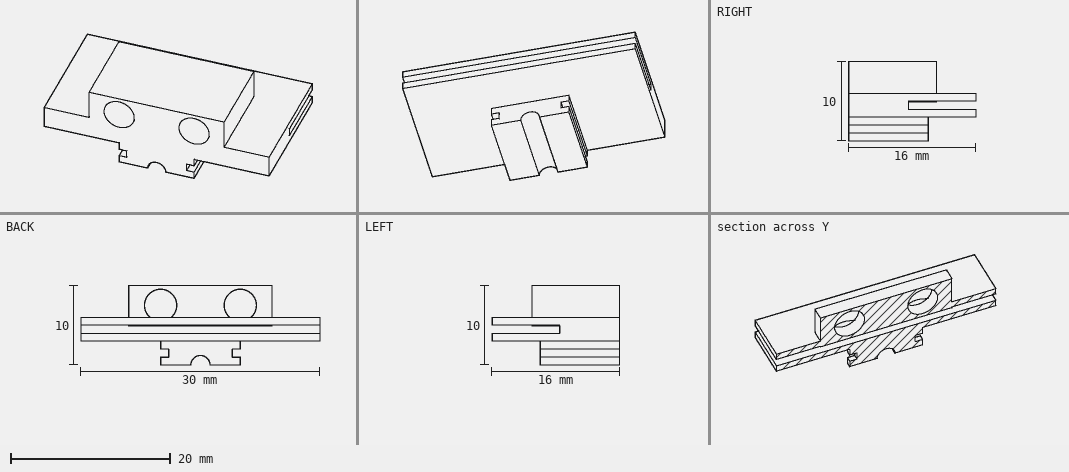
import cadquery as cq
import math

plate_length = 30
plate_depth = 16.0
plate_thickness = 3

block_length = 18
block_depth = 11.0
block_height = 4.0
block_sink = 1.08

rail_width = 10.0
rail_depth = 10.0
rail_height = 3
rail_groove_size = rail_height / 3
cable_groove_radius = 1.2

slot_height = 1.05
slot_depth = 8.45
slot_bottom = (plate_thickness - slot_height) / 2

hole_radius = 2.0
hole_spacing = 10.0
hole_rise = 1.5
hole_height = plate_thickness + hole_rise
drill_point_angle = 118


def front_box(length, depth, bottom, height):
    """Box centred on X that starts at the front face."""
    return (
        cq.Workplane("XY", origin=(0, 0, bottom))
        .box(length, depth, height, centered=(True, False, False))
    )


def drilled_hole(x):
    """Full-diameter bore as deep as the block, followed by the drill point."""
    point_length = hole_radius / math.tan(math.radians(drill_point_angle / 2))
    return (
        cq.Workplane("YZ", origin=(x, 0, hole_height))
        .polyline([(0, 0), (0, hole_radius), (block_depth, hole_radius), (block_depth + point_length, 0)])
        .close()
        .revolve(360, (0, 0, 0), (1, 0, 0))
    )


def slotted_plate():
    plate = front_box(plate_length, plate_depth, 0, plate_thickness)
    slot = front_box(plate_length, slot_depth, slot_bottom, slot_height)
    return plate.cut(slot.translate((0, plate_depth - slot_depth, 0)))


def rail():
    body = front_box(rail_width, rail_depth, -rail_height, rail_height)
    side_groove = front_box(2 * rail_groove_size, rail_depth, -2 * rail_groove_size, rail_groove_size)
    for side in (-1, 1):
        body = body.cut(side_groove.translate((side * rail_width / 2, 0, 0)))
    cable_groove = (
        cq.Workplane("XZ", origin=(0, 0, -rail_height))
        .circle(cable_groove_radius)
        .extrude(-rail_depth)
    )
    return body.cut(cable_groove)


block = front_box(block_length, block_depth, plate_thickness - block_sink, block_height + block_sink)
result = slotted_plate().union(block).union(rail())
for side in (-1, 1):
    result = result.cut(drilled_hole(side * hole_spacing / 2))